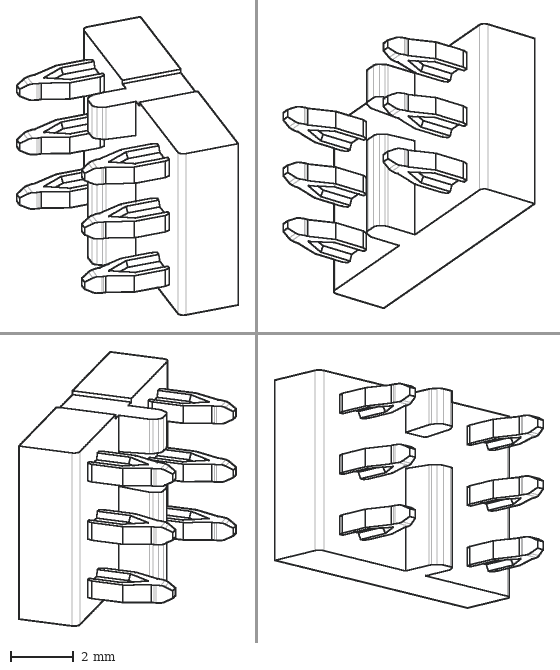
import cadquery as cq

BODY_WIDTH = 8.75
BODY_DEPTH = 2.0
BODY_HEIGHT = 5.95
BODY_EDGE_RADIUS = 0.2

NOTCH_WIDTH = 1.51
NOTCH_DEPTH = 0.13

RIB_WIDTH = 0.91
RIB_LENGTH = 1.4
RIB_NOSE_WIDTH = 0.56
RIB_NOSE_START = 1.09
RIB_NOSE_RADIUS = 0.2
GAP_BOTTOM = 3.38
GAP_TOP = 4.57
GAP_DRAFT = 0.09

PIN_COLUMNS = 2
PIN_ROWS = 3
COLUMN_SPACING = 5.8
ROW_SPACING = 2.0
PIN_LENGTH = 2.75
PIN_THICKNESS = 0.6
PIN_WIDTH = 1.2
PIN_ROOT_WIDTH = 1.085
PIN_LEAD_IN = 0.17
PIN_SHOULDER = 1.22
NECK_WIDTH = 0.58
NECK_START = 2.07
NECK_END = 2.19
NECK_RADIUS = 0.2
TIP_WIDTH = 0.26
TIP_THICKNESS = 0.26
TIP_BEVEL_LENGTH = 0.32
TIP_BEVEL_RADIUS = 0.3

POCKET_WIDTH = 0.805
POCKET_FLOOR_WIDTH = 0.62
POCKET_STRAIGHT = 1.12
POCKET_FLOOR_STRAIGHT = 1.09
POCKET_POINT = 1.87
POCKET_FLOOR_POINT = 1.715
POCKET_DEPTH = 0.2

SELECT_MARGIN = 0.01


def symmetric_outline(stations):
    """Closed point list from (distance in front of the body, full width) stations."""
    right = [(width / 2, -distance) for distance, width in stations]
    left = [(-x, y) for x, y in reversed(right)]
    return right + left


def round_corners(solid, direction, distance, radius):
    """Fillet the edges in one direction that lie at a given distance in front of the body."""
    slab = cq.selectors.BoxSelector(
        (-BODY_WIDTH, -distance - SELECT_MARGIN, -BODY_HEIGHT),
        (BODY_WIDTH, -distance + SELECT_MARGIN, BODY_HEIGHT),
    )
    return solid.edges(direction).edges(slab).fillet(radius)


def make_body():
    body = cq.Workplane("XY").box(BODY_WIDTH, BODY_DEPTH, BODY_HEIGHT, centered=(True, False, False))
    return body.edges("|Z and <Y").fillet(BODY_EDGE_RADIUS)


def make_rib():
    outline = symmetric_outline([
        (0, RIB_WIDTH),
        (RIB_NOSE_START, RIB_WIDTH),
        (RIB_LENGTH, RIB_NOSE_WIDTH),
    ])
    rib = cq.Workplane("XY").polyline(outline).close().extrude(BODY_HEIGHT)
    rib = rib.edges("|Z").edges("not >Y").fillet(RIB_NOSE_RADIUS)
    gap = (
        cq.Workplane("YZ")
        .polyline([
            (0, GAP_BOTTOM),
            (-RIB_LENGTH, GAP_BOTTOM - GAP_DRAFT),
            (-RIB_LENGTH, GAP_TOP + GAP_DRAFT),
            (0, GAP_TOP),
        ])
        .close()
        .extrude(RIB_WIDTH, both=True)
    )
    return rib.cut(gap)


def make_notch():
    notch_length = BODY_DEPTH + RIB_LENGTH
    return (
        cq.Workplane("XY", origin=(0, -RIB_LENGTH, BODY_HEIGHT - NOTCH_DEPTH))
        .box(NOTCH_WIDTH, notch_length, NOTCH_DEPTH, centered=(True, False, False))
    )


def pocket_outline(width, straight, point):
    """Straight-sided outline that ends in a point."""
    return [
        (-width / 2, 0),
        (-width / 2, -straight),
        (0, -point),
        (width / 2, -straight),
        (width / 2, 0),
    ]


def make_pocket():
    """Pocket open at the pin root, its rim on the upper flat face of the pin."""
    floor_outline = pocket_outline(POCKET_FLOOR_WIDTH, POCKET_FLOOR_STRAIGHT, POCKET_FLOOR_POINT)
    rim_outline = pocket_outline(POCKET_WIDTH, POCKET_STRAIGHT, POCKET_POINT)
    return (
        cq.Workplane("XY", origin=(0, 0, PIN_THICKNESS / 2 - POCKET_DEPTH))
        .polyline(floor_outline)
        .close()
        .workplane(offset=POCKET_DEPTH)
        .polyline(rim_outline)
        .close()
        .loft(ruled=True)
    )


def make_pin():
    """One pin centred on X = 0, Z = 0, starting at the body face."""
    plan_outline = symmetric_outline([
        (0, PIN_ROOT_WIDTH),
        (PIN_LEAD_IN, PIN_WIDTH),
        (PIN_SHOULDER, PIN_WIDTH),
        (NECK_START, NECK_WIDTH),
        (NECK_END, NECK_WIDTH),
        (PIN_LENGTH, TIP_WIDTH),
    ])
    plan = cq.Workplane("XY").polyline(plan_outline).close().extrude(PIN_THICKNESS / 2, both=True)
    plan = round_corners(plan, "|Z", NECK_END, NECK_RADIUS)

    bevel_start = PIN_LENGTH - TIP_BEVEL_LENGTH
    side_stations = [
        (0, PIN_THICKNESS),
        (bevel_start, PIN_THICKNESS),
        (PIN_LENGTH, TIP_THICKNESS),
    ]
    side_outline = [(y, z) for z, y in symmetric_outline(side_stations)]
    side = cq.Workplane("YZ").polyline(side_outline).close().extrude(PIN_WIDTH, both=True)
    side = round_corners(side, "|X", bevel_start, TIP_BEVEL_RADIUS)

    pocket = make_pocket()
    return plan.intersect(side).cut(pocket).cut(pocket.mirror("XY"))


result = make_body().union(make_rib()).cut(make_notch())

pin = make_pin()
for column in range(PIN_COLUMNS):
    for row in range(PIN_ROWS):
        x = (column - (PIN_COLUMNS - 1) / 2) * COLUMN_SPACING
        z = BODY_HEIGHT / 2 + (row - (PIN_ROWS - 1) / 2) * ROW_SPACING
        result = result.union(pin.translate((x, 0, z)))